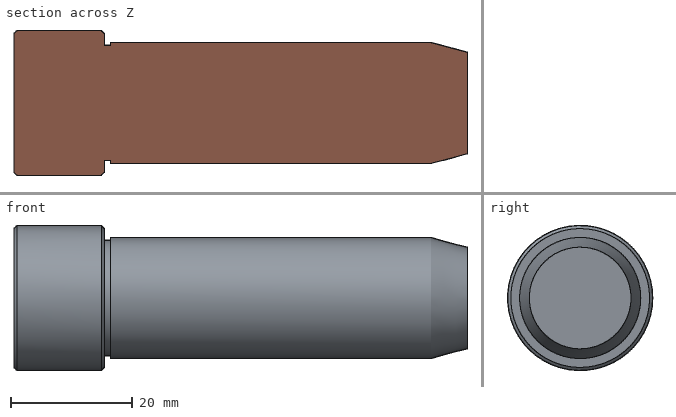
import cadquery as cq
import math

total_length = 75.0
head_diameter = 24.0
head_length = 15.0
head_chamfer = 0.5
shank_diameter = 20.0

groove_width = 1.0
groove_depth = 0.45

taper_length = 6.0
taper_angle = 15.0

head_radius = head_diameter / 2
shank_radius = shank_diameter / 2
groove_radius = shank_radius - groove_depth
tip_radius = shank_radius - taper_length * math.tan(math.radians(taper_angle))

head_end = -total_length / 2
tip_end = total_length / 2
shoulder = head_end + head_length
groove_end = shoulder + groove_width
taper_start = tip_end - taper_length

half_section = (
    cq.Workplane("XY")
    .moveTo(head_end, 0)
    .lineTo(head_end, head_radius - head_chamfer)
    .lineTo(head_end + head_chamfer, head_radius)
    .lineTo(shoulder - head_chamfer, head_radius)
    .lineTo(shoulder, head_radius - head_chamfer)
    .lineTo(shoulder, groove_radius)
    .lineTo(groove_end, groove_radius)
    .lineTo(groove_end, shank_radius)
    .lineTo(taper_start, shank_radius)
    .lineTo(tip_end, tip_radius)
    .lineTo(tip_end, 0)
    .close()
)

result = half_section.revolve(360, (0, 0, 0), (1, 0, 0))